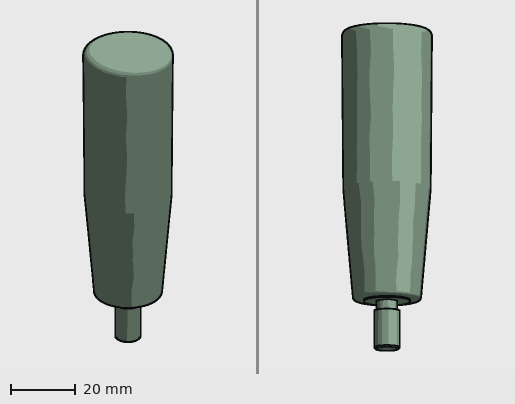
import cadquery as cq


THREAD_DIAMETER = 8.0
THREAD_LENGTH = 12.0
TIP_CHAMFER = 0.5
NECK_DIAMETER = 6.5
NECK_LENGTH = 3.0

BUSH_DIAMETER = 14.5
BUSH_PROTRUSION = 0.4
BUSH_INSERTION = 20.0

GRIP_LENGTH = 85.0
GRIP_LOWER_LENGTH = 35.0
GRIP_TOP_RADIUS = 14.0
GRIP_WAIST_RADIUS = 13.6
GRIP_BASE_RADIUS = 10.54
GRIP_TOP_FILLET = 2.0
GRIP_BASE_FILLET = 1.0

bush_bottom = THREAD_LENGTH + NECK_LENGTH
grip_bottom = bush_bottom + BUSH_PROTRUSION
grip_waist = grip_bottom + GRIP_LOWER_LENGTH
grip_top = grip_bottom + GRIP_LENGTH
bush_top = grip_bottom + BUSH_INSERTION


def cylinder(diameter, bottom, top):
    """Upright cylinder on the Z axis between two levels."""
    return cq.Workplane("XY").workplane(offset=bottom).circle(diameter / 2).extrude(top - bottom)


def make_grip():
    """Two stacked truncated cones with rounded ends and a blind bore for the bush."""
    body = (
        cq.Workplane("XZ")
        .moveTo(0, grip_bottom)
        .lineTo(GRIP_BASE_RADIUS, grip_bottom)
        .lineTo(GRIP_WAIST_RADIUS, grip_waist)
        .lineTo(GRIP_TOP_RADIUS, grip_top)
        .lineTo(0, grip_top)
        .close()
        .revolve(360, (0, 0), (0, 1))
    )
    body = body.faces(">Z").edges().fillet(GRIP_TOP_FILLET)
    body = body.faces("<Z").edges().fillet(GRIP_BASE_FILLET)
    return body.cut(cylinder(BUSH_DIAMETER, grip_bottom, bush_top))


def make_bush():
    """Sleeve in the grip's bore, standing slightly proud of the grip's base."""
    sleeve = cylinder(BUSH_DIAMETER, bush_bottom, bush_top)
    return sleeve.cut(cylinder(NECK_DIAMETER, bush_bottom, bush_top))


def make_stud():
    """Thread at its major diameter, and a thinner shank that runs up through the bush."""
    thread = cylinder(THREAD_DIAMETER, 0, THREAD_LENGTH).faces("<Z").chamfer(TIP_CHAMFER)
    shank = cylinder(NECK_DIAMETER, THREAD_LENGTH, bush_top)
    return thread.union(shank)


grip = make_grip().solids()
bush = make_bush().solids()
stud = make_stud().solids()

result = cq.Compound.makeCompound([grip.val(), bush.val(), stud.val()])